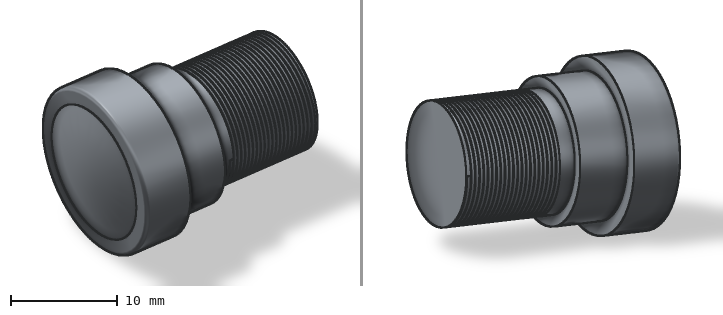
import cadquery as cq

overall_length = 22.5
lens_height = 1.0
barrel_length = overall_length - lens_height

head_radius = 8.5
head_length = 5.02
head_fillet = 0.4
collar_radius = 7.1
collar_length = 5.0
shank_radius = 6.0

lens_radius = 6.8

thread_pitch = 0.45
thread_turns = 21.5
thread_depth = 0.32
crest_width = 0.02
back_margin = 0.27
cutter_overrun = 0.07


def make_stepped_blank():
    """Head, collar and shank turned in one piece, with a rounded front edge."""
    collar_back = head_length + collar_length
    profile = (
        cq.Workplane("XY")
        .lineTo(head_radius, 0)
        .lineTo(head_radius, head_length)
        .lineTo(collar_radius, head_length)
        .lineTo(collar_radius, collar_back)
        .lineTo(shank_radius, collar_back)
        .lineTo(shank_radius, barrel_length)
        .lineTo(0, barrel_length)
        .close()
    )
    blank = profile.revolve(360, (0, 0), (0, 1))
    return blank.faces("<Y").edges().fillet(head_fillet)


def make_thread_cutter():
    """Triangular section swept along a helix about Y, starting on the +X side."""
    thread_length = thread_pitch * thread_turns
    start_y = barrel_length - back_margin - thread_length
    half_width = (thread_pitch - crest_width) / 2
    root_radius = shank_radius - thread_depth
    outer_radius = shank_radius + cutter_overrun
    outer_half_width = half_width * (outer_radius - root_radius) / thread_depth

    helix = cq.Wire.makeHelix(thread_pitch, thread_length, shank_radius)
    cutter = (
        cq.Workplane("XZ")
        .moveTo(root_radius, 0)
        .lineTo(outer_radius, outer_half_width)
        .lineTo(outer_radius, -outer_half_width)
        .close()
        .sweep(cq.Workplane(obj=helix), isFrenet=True)
    )
    return cutter.rotate((0, 0, 0), (1, 0, 0), -90).translate((0, start_y, 0))


def make_barrel():
    return make_stepped_blank().cut(make_thread_cutter()).solids()


def make_lens():
    """Spherical cap with its flat side seated on the barrel's front face."""
    sphere_radius = (lens_radius**2 + lens_height**2) / (2 * lens_height)
    mid_radius = lens_radius / 2
    mid_y = sphere_radius - lens_height - (sphere_radius**2 - mid_radius**2) ** 0.5
    return (
        cq.Workplane("XY")
        .lineTo(lens_radius, 0)
        .threePointArc((mid_radius, mid_y), (0, -lens_height))
        .close()
        .revolve(360, (0, 0), (0, 1))
    )


barrel = make_barrel()
lens = make_lens()

result = cq.Compound.makeCompound([barrel.val(), lens.val()])